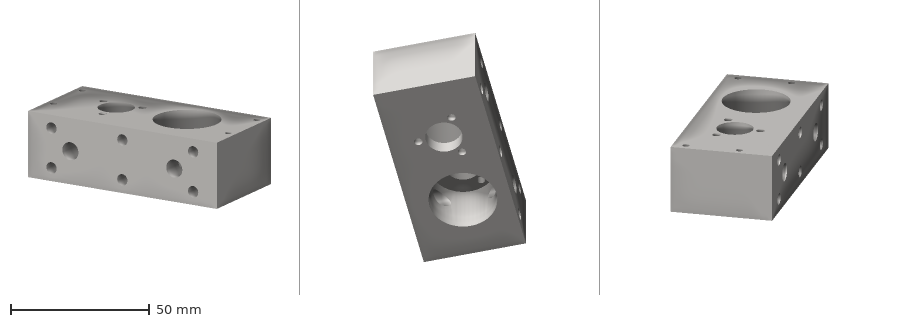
import cadquery as cq

length = 80.0
width = 38.0
height = 25.0

bore_spacing = 30.0
bore_from_back = 17.5
pocket_diameter = 25.0
pocket_floor = 5.0
through_bore_diameter = 13.5
screw_hole_diameter = 3.0
screw_circle_radius = 9.5
screw_count = 3
first_screw_angle = -90.0

end_hole_diameter = 2.6
end_hole_depth = 10.0
end_hole_from_end = 3.0
end_hole_from_back = 5.0
end_hole_spacing = 20.0

mount_hole_diameter = 4.3
mount_hole_pitch = 30.0
mount_row_spacing = 15.0
port_diameter = 6.8
port_spacing = 44.0

back = width / 2
bore_x = bore_spacing / 2
bore_y = back - bore_from_back
pocket_depth = height - pocket_floor


def vertical_hole(x, y, diameter, bottom, depth):
    return cq.Workplane("XY", origin=(x, y, bottom)).circle(diameter / 2).extrude(depth)


def cross_holes(points, diameter):
    return cq.Workplane("XZ").pushPoints(points).circle(diameter / 2).extrude(width / 2, both=True)


def stepped_bore(x, pocket_bottom):
    """Wide pocket, narrower through bore and a ring of through screw holes."""
    base = -height / 2
    cutter = vertical_hole(x, bore_y, pocket_diameter, pocket_bottom, pocket_depth)
    cutter = cutter.union(vertical_hole(x, bore_y, through_bore_diameter, base, height))
    screws = (
        cq.Workplane("XY", origin=(x, bore_y, base))
        .polarArray(screw_circle_radius, first_screw_angle, 360, screw_count)
        .circle(screw_hole_diameter / 2)
        .extrude(height)
    )
    return cutter.union(screws)


result = cq.Workplane("XY").box(length, width, height)

result = result.cut(stepped_bore(-bore_x, -height / 2))
result = result.cut(stepped_bore(bore_x, height / 2 - pocket_depth))

end_hole_x = length / 2 - end_hole_from_end
end_hole_back_y = back - end_hole_from_back
for x in (-end_hole_x, end_hole_x):
    for y in (end_hole_back_y, end_hole_back_y - end_hole_spacing):
        bottom = height / 2 - end_hole_depth
        result = result.cut(vertical_hole(x, y, end_hole_diameter, bottom, end_hole_depth))

mount_points = [
    (column * mount_hole_pitch, row * mount_row_spacing / 2)
    for column in (-1, 0, 1)
    for row in (-1, 1)
]
port_points = [(-port_spacing / 2, 0), (port_spacing / 2, 0)]
result = result.cut(cross_holes(mount_points, mount_hole_diameter))
result = result.cut(cross_holes(port_points, port_diameter))